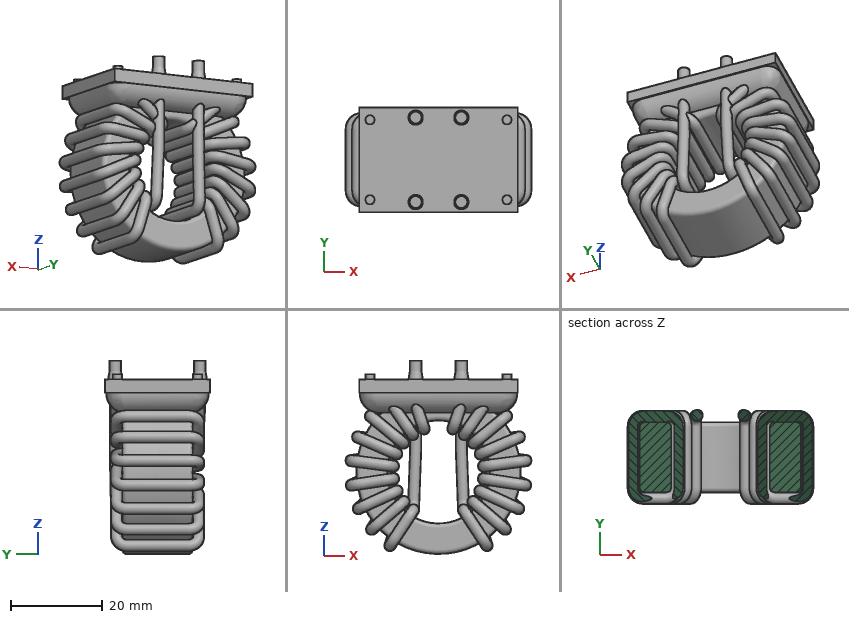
import cadquery as cq
import math

CORE_OUTER_R = 36.0 / 2
CORE_INNER_R = 22.5 / 2
CORE_LENGTH = 15.4
CORE_EDGE_R = 1.0

WIRE_R = 2.5 / 2
WIRE_CLEARANCE = 0.03
BEND_R = CORE_EDGE_R + WIRE_R
LEAD_BEND_R = 6.0
TURN_PITCH = 16.0
TOP_TURN_ANGLE = 71.4
TURN_COUNT = 9
LEAD_STRAIGHT_Z = 5.0
WIRE_INNER_R = CORE_INNER_R - WIRE_R - WIRE_CLEARANCE
WIRE_OUTER_R = CORE_OUTER_R + WIRE_R + WIRE_CLEARANCE
WIRE_SIDE_Y = CORE_LENGTH / 2 + WIRE_R + WIRE_CLEARANCE

OVERALL_HEIGHT = 42.4
PLATE_X = 34.8
PLATE_Y = 23.0
PLATE_THICKNESS = 2.9
FOOT_R = 2.0 / 2
FOOT_HEIGHT = 1.1
FOOT_SPACING_X = 30.0
FOOT_SPACING_Y = 17.5

PIN_R = 2.6 / 2
PIN_HEIGHT = 4.1
COLLAR_R = 3.2 / 2
COLLAR_HEIGHT = 1.8
PIN_X = 5.0
PIN_Y = 9.25

PLATE_TOP_Z = OVERALL_HEIGHT - CORE_OUTER_R - PIN_HEIGHT
PLATE_BOTTOM_Z = PLATE_TOP_Z - PLATE_THICKNESS

BED_INSET_X = 0.1
BED_INSET_Y = 0.25
BED_DEPTH = 4.5
BED_CORNER_R = 3.2
BED_EDGE_R = 4.4


def make_core():
    ring = cq.Workplane("XZ").circle(CORE_OUTER_R).circle(CORE_INNER_R)
    return ring.extrude(CORE_LENGTH / 2, both=True).edges().fillet(CORE_EDGE_R)


def sweep_wire(points, bend_radii):
    """Sweep the round wire along straight runs joined by tangent bends at the inner points."""
    nodes = [cq.Vector(*p) for p in points]
    edges = []
    start = nodes[0]
    for before, corner, after, radius in zip(nodes, nodes[1:], nodes[2:], bend_radii):
        to_before = (before - corner).normalized()
        to_after = (after - corner).normalized()
        half_angle = to_before.getAngle(to_after) / 2
        bisector = (to_before + to_after).normalized()
        setback = radius / math.tan(half_angle)
        bend_start = corner + to_before * setback
        bend_middle = corner + bisector * (radius / math.sin(half_angle) - radius)
        bend_end = corner + to_after * setback
        edges.append(cq.Edge.makeLine(start, bend_start))
        edges.append(cq.Edge.makeThreePointArc(bend_start, bend_middle, bend_end))
        start = bend_end
    edges.append(cq.Edge.makeLine(start, nodes[-1]))
    path = cq.Workplane(obj=cq.Wire.assembleEdges(edges))
    section = cq.Plane(origin=nodes[0].toTuple(), normal=(nodes[1] - nodes[0]).toTuple())
    return cq.Workplane(section).circle(WIRE_R).sweep(path)


def polar_point(radius, angle, y):
    """Point on the -X half of the core at the given angle above the X axis."""
    a = math.radians(angle)
    return (-radius * math.cos(a), y, radius * math.sin(a))


def make_left_winding():
    front_y = -WIRE_SIDE_Y
    back_y = WIRE_SIDE_Y
    angles = [TOP_TURN_ANGLE - i * TURN_PITCH for i in range(TURN_COUNT)]

    lead_corner_z = PIN_X * math.tan(math.radians(TOP_TURN_ANGLE))
    points = [(-PIN_X, -PIN_Y, PLATE_BOTTOM_Z), (-PIN_X, -PIN_Y, lead_corner_z)]
    for upper, lower in zip(angles, angles[1:]):
        points.append(polar_point(WIRE_INNER_R, upper, front_y))
        points.append(polar_point(WIRE_INNER_R, upper, back_y))
        points.append(polar_point(WIRE_OUTER_R, lower, back_y))
        points.append(polar_point(WIRE_OUTER_R, lower, front_y))
    points.append(polar_point(WIRE_INNER_R, angles[-1], front_y))
    points.append(polar_point(WIRE_INNER_R, angles[-1], 0))
    coil = sweep_wire(points, [BEND_R] * (len(points) - 2))

    back_lead = sweep_wire(
        [
            polar_point(WIRE_INNER_R, angles[-1], 0),
            polar_point(WIRE_INNER_R, angles[-1], back_y),
            (-PIN_X, PIN_Y, LEAD_STRAIGHT_Z),
            (-PIN_X, PIN_Y, PLATE_BOTTOM_Z),
        ],
        [BEND_R, LEAD_BEND_R],
    )
    return coil.union(back_lead)


def make_pin(x, y):
    profile = [
        (0, -PLATE_THICKNESS),
        (PIN_R, -PLATE_THICKNESS),
        (PIN_R, 0),
        (COLLAR_R, 0),
        (PIN_R, COLLAR_HEIGHT),
        (PIN_R, PIN_HEIGHT),
        (0, PIN_HEIGHT),
    ]
    pin = cq.Workplane("XZ").polyline(profile).close().revolve(360, (0, 0), (0, 1))
    return pin.translate((x, y, PLATE_TOP_Z))


def make_plate(core):
    plate = (
        cq.Workplane("XY", origin=(0, 0, PLATE_BOTTOM_Z))
        .rect(PLATE_X, PLATE_Y)
        .extrude(PLATE_THICKNESS)
        .faces(">Z")
        .workplane()
        .rarray(FOOT_SPACING_X, FOOT_SPACING_Y, 2, 2)
        .circle(FOOT_R)
        .extrude(FOOT_HEIGHT)
        .faces("<Z")
        .workplane()
        .rarray(2 * PIN_X, 2 * PIN_Y, 2, 2)
        .hole(2 * PIN_R)
    )
    return plate.cut(core)


def make_bed(core, windings):
    bed = (
        cq.Workplane("XY", origin=(0, 0, PLATE_BOTTOM_Z))
        .rect(PLATE_X - 2 * BED_INSET_X, PLATE_Y - 2 * BED_INSET_Y)
        .extrude(-BED_DEPTH)
        .edges("|Z")
        .fillet(BED_CORNER_R)
        .faces("<Z")
        .edges()
        .fillet(BED_EDGE_R)
    )
    bed = bed.cut(core)
    for winding in windings:
        bed = bed.cut(winding)
    return bed


core = make_core()
left_winding = make_left_winding()
right_winding = left_winding.mirror("YZ")
windings = [left_winding, right_winding]
plate = make_plate(core)
bed = make_bed(core, windings)
pins = [make_pin(x, y) for x in (-PIN_X, PIN_X) for y in (-PIN_Y, PIN_Y)]

bodies = [core, left_winding, right_winding, plate, bed] + pins
result = cq.Compound.makeCompound([solid for body in bodies for solid in body.solids().vals()])